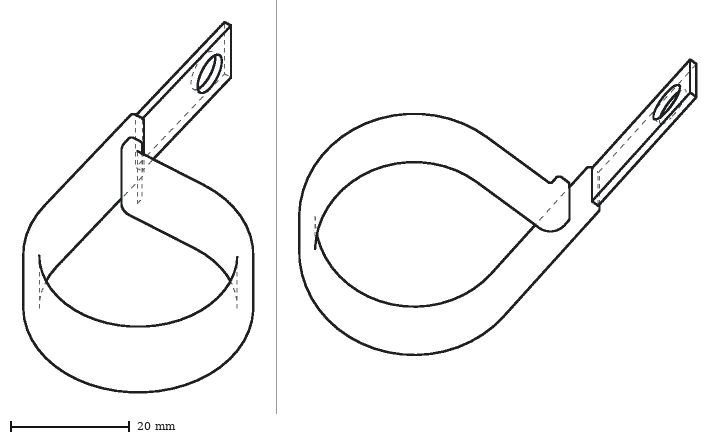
import cadquery as cq
import math

overall_length = 71.8
loop_diameter = 38.85

strap_thickness = 1.4
hole_diameter = 7.1
hole_end_distance = 6.3

cover = 0.68
cushion_thickness = strap_thickness + 2 * cover
cushion_width = 14.2
strap_width = cushion_width - 2 * cover
edge_radius = 0.675

outer_radius = loop_diameter / 2
inner_radius = outer_radius - cushion_thickness
sleeve_end_y = 26.15
strap_end_y = overall_length - outer_radius

hook_gap = 0.11
hook_inner_radius = 0.35
hook_outer_radius = hook_inner_radius + cushion_thickness
hook_end_y = 21.55
hook_outer_x = -inner_radius + hook_gap
hook_inner_x = hook_outer_x + cushion_thickness
bend_x = hook_outer_x + hook_outer_radius
bend_y = outer_radius + hook_inner_radius


def bend_middle(radius):
    """Midpoint of the hook's quarter bend at the given radius."""
    offset = radius * math.sqrt(0.5)
    return (bend_x - offset, bend_y - offset)


def loop_middle(radius):
    """Midpoint of the three-quarter loop at the given radius."""
    offset = radius * math.sqrt(0.5)
    return (offset, -offset)


def make_cushion():
    """Straight leg, three-quarter loop, arm and hook with rounded edges."""
    band = (
        cq.Workplane("XY")
        .workplane(offset=-cushion_width / 2)
        .moveTo(-outer_radius, sleeve_end_y)
        .lineTo(-outer_radius, 0)
        .threePointArc(loop_middle(outer_radius), (0, outer_radius))
        .lineTo(bend_x, outer_radius)
        .threePointArc(bend_middle(hook_inner_radius), (hook_inner_x, bend_y))
        .lineTo(hook_inner_x, hook_end_y)
        .lineTo(hook_outer_x, hook_end_y)
        .lineTo(hook_outer_x, bend_y)
        .threePointArc(bend_middle(hook_outer_radius), (bend_x, inner_radius))
        .lineTo(0, inner_radius)
        .threePointArc(loop_middle(inner_radius), (-inner_radius, 0))
        .lineTo(-inner_radius, sleeve_end_y)
        .close()
        .extrude(cushion_width)
    )
    end_edges = [
        edge for edge in band.edges("|Z").vals()
        if round(edge.Center().y, 3) in (sleeve_end_y, hook_end_y)
    ]
    face_edges = band.faces("|Z").edges().vals()
    return band.newObject(end_edges + face_edges).fillet(edge_radius)


def make_strap():
    """Bare strap running out of the straight leg, with its bolt hole."""
    strap_x = -outer_radius + cushion_thickness / 2
    strap = (
        cq.Workplane("XY")
        .box(strap_thickness, strap_end_y, strap_width)
        .translate((strap_x, strap_end_y / 2, 0))
    )
    hole = (
        cq.Workplane("YZ")
        .center(strap_end_y - hole_end_distance, 0)
        .circle(hole_diameter / 2)
        .extrude(strap_thickness, both=True)
        .translate((strap_x, 0, 0))
    )
    return strap.cut(hole)


result = make_cushion().union(make_strap())